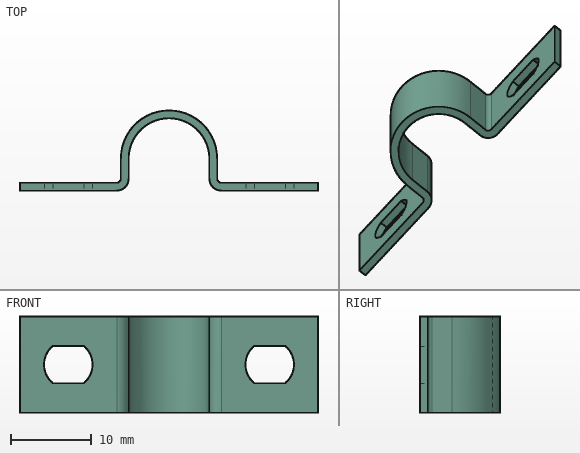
import cadquery as cq
import math

length = 37.0
width = 12.0
thickness = 1.0

arch_inner_radius = 5.0
arch_outer_radius = arch_inner_radius + thickness
arch_axis_height = 4.0

bend_inner_radius = 0.5
bend_outer_radius = bend_inner_radius + thickness
bend_axis_x = arch_outer_radius + bend_inner_radius

hole_diameter = 6.0
hole_flat_height = 4.6
hole_edge_distance = 6.0


def bend_midpoint(side, radius):
    """Middle of the quarter bend on the given side (-1 or +1)."""
    offset = radius * math.sqrt(0.5)
    return side * (bend_axis_x - offset), bend_outer_radius - offset


def make_strap():
    """Bent strip, extruded across its width."""
    end_x = length / 2
    outline = (
        cq.Workplane("XY")
        .moveTo(-end_x, 0)
        .lineTo(-bend_axis_x, 0)
        .threePointArc(bend_midpoint(-1, bend_outer_radius), (-arch_inner_radius, bend_outer_radius))
        .lineTo(-arch_inner_radius, arch_axis_height)
        .threePointArc((0, arch_axis_height + arch_inner_radius), (arch_inner_radius, arch_axis_height))
        .lineTo(arch_inner_radius, bend_outer_radius)
        .threePointArc(bend_midpoint(1, bend_outer_radius), (bend_axis_x, 0))
        .lineTo(end_x, 0)
        .lineTo(end_x, thickness)
        .lineTo(bend_axis_x, thickness)
        .threePointArc(bend_midpoint(1, bend_inner_radius), (arch_outer_radius, bend_outer_radius))
        .lineTo(arch_outer_radius, arch_axis_height)
        .threePointArc((0, arch_axis_height + arch_outer_radius), (-arch_outer_radius, arch_axis_height))
        .lineTo(-arch_outer_radius, bend_outer_radius)
        .threePointArc(bend_midpoint(-1, bend_inner_radius), (-bend_axis_x, thickness))
        .lineTo(-end_x, thickness)
        .close()
    )
    return outline.extrude(width / 2, both=True)


def make_hole_cutter(center_x):
    """Cylinder through a flange, trimmed to the distance between the flats."""
    cylinder = cq.Workplane("XZ").center(center_x, 0).circle(hole_diameter / 2).extrude(-thickness)
    flats = cq.Workplane("XZ").center(center_x, 0).rect(hole_diameter, hole_flat_height).extrude(-thickness)
    return cylinder.intersect(flats)


result = make_strap()
for side in (-1, 1):
    result = result.cut(make_hole_cutter(side * (length / 2 - hole_edge_distance)))